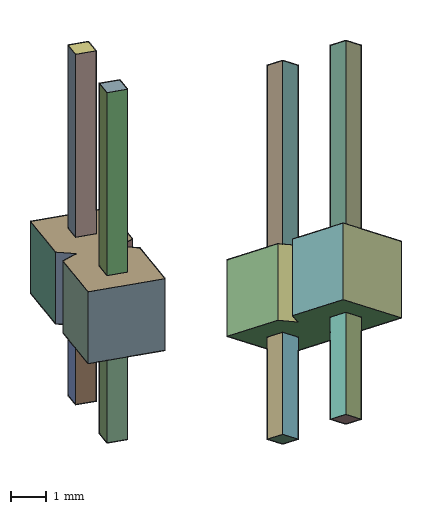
import cadquery as cq

body_length = 4.67
body_width = 2.34
pin_length = 11.18

body_height = 2.29
pin_tail = 3.05

pin_side = 0.63
pin_pitch = 2.54

notch_width = 0.58
notch_depth = 0.51


def make_body():
    """Block with its bottom face at Z = 0 and a V notch in each long side."""
    half_length = body_length / 2
    half_width = body_width / 2
    half_notch = notch_width / 2
    notch_tip = half_width - notch_depth
    outline = [
        (-half_length, -half_width),
        (-half_notch, -half_width),
        (0, -notch_tip),
        (half_notch, -half_width),
        (half_length, -half_width),
        (half_length, half_width),
        (half_notch, half_width),
        (0, notch_tip),
        (-half_notch, half_width),
        (-half_length, half_width),
    ]
    return cq.Workplane("XY").polyline(outline).close().extrude(body_height)


def make_pins():
    """Two square pins running right through the body."""
    return (
        cq.Workplane("XY")
        .workplane(offset=-pin_tail)
        .rarray(pin_pitch, 0.11, 2, 1)
        .rect(pin_side, pin_side)
        .extrude(pin_length)
    )


result = make_body().union(make_pins())